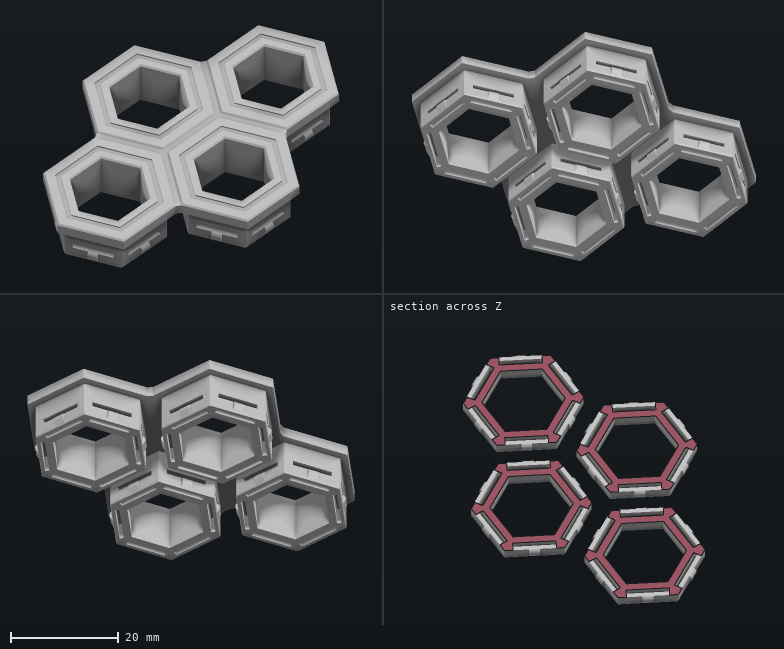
import cadquery as cq
import math

flange_width = 22.5
gap = 1.1
total_height = 10.0
flange_thickness = 2.5
flange_overhang = 1.45
flange_chamfer = 0.3
corner_chamfer = 0.15
foot_chamfer_height = 0.3
lead_in_angle = 26.5
hole_width = 13.4
rim_chamfer = 0.3

groove_inset = 2.0
groove_width = 1.0
groove_depth = 0.3

slot_length = 8.0
slot_height = 1.0
slot_depth = 1.6
slot_bottom = 2.5
spring_thickness = 0.8

catch_width = 2.0
catch_ramp_length = 1.0
catch_root = 0.5

pitch = flange_width + gap
column_spacing = pitch * math.sqrt(3) / 2
flange_side = flange_width / math.sqrt(3)
body_width = flange_width - 2 * flange_overhang
body_height = total_height - flange_thickness
bridge_thickness = flange_thickness - flange_chamfer
lead_in = math.radians(lead_in_angle)
foot_chamfer_width = foot_chamfer_height * math.tan(lead_in)

cell_centers = [
    (-column_spacing / 2, -pitch * 3 / 4),
    (-column_spacing / 2, pitch / 4),
    (column_spacing / 2, -pitch / 4),
    (column_spacing / 2, pitch * 3 / 4),
]


def hexagon(width, bottom, height):
    """Hexagonal prism with two flats facing +Y and -Y."""
    corner_diameter = width * 2 / math.sqrt(3)
    return cq.Workplane("XY").workplane(offset=bottom).polygon(6, corner_diameter).extrude(height)


def on_each_flat(shape):
    """The shape, built on the +Y flat, repeated around all six flats."""
    repeated = shape
    for side in range(1, 6):
        repeated = repeated.union(shape.rotate((0, 0, 0), (0, 0, 1), 60 * side))
    return repeated


def make_spring_cutter():
    """Slot in the flat and the relief behind the spring wall, open at the foot."""
    face = body_width / 2
    back = face - slot_depth
    slot_top = slot_bottom + slot_height
    return (
        cq.Workplane("YZ")
        .moveTo(back, 0)
        .lineTo(face - spring_thickness, 0)
        .lineTo(face - spring_thickness, slot_bottom)
        .lineTo(face, slot_bottom)
        .lineTo(face, slot_top)
        .lineTo(back, slot_top)
        .close()
        .extrude(slot_length / 2, both=True)
    )


def make_catch():
    """Snap catch: a ramp in line with the foot chamfer, then a round nose up to the slot."""
    face = body_width / 2
    root = face - catch_root
    tangent_y = face + catch_ramp_length * math.sin(lead_in)
    tangent_z = foot_chamfer_height + catch_ramp_length * math.cos(lead_in)
    rise = slot_bottom - foot_chamfer_height
    along_ramp = rise * math.cos(lead_in) - catch_ramp_length
    off_ramp = rise * math.sin(lead_in)
    nose_radius = (along_ramp**2 + off_ramp**2) / (2 * off_ramp)
    nose_y = tangent_y - nose_radius * math.cos(lead_in)
    nose_z = tangent_z + nose_radius * math.sin(lead_in)
    return (
        cq.Workplane("YZ")
        .moveTo(root, 0)
        .lineTo(face - foot_chamfer_width, 0)
        .lineTo(tangent_y, tangent_z)
        .threePointArc((nose_y + nose_radius, nose_z), (face, slot_bottom))
        .lineTo(root, slot_bottom)
        .close()
        .extrude(catch_width / 2, both=True)
    )


def make_groove():
    outer_width = flange_width - 2 * groove_inset
    inner_width = outer_width - 2 * groove_width
    bottom = total_height - groove_depth
    return hexagon(outer_width, bottom, groove_depth).cut(hexagon(inner_width, bottom, groove_depth))


def make_body():
    """Hexagonal body with chamfered corners, tapering inward at its foot."""
    corner_distance = body_width / math.sqrt(3)
    section = cq.Sketch().regularPolygon(corner_distance, 6, angle=30).vertices().chamfer(corner_chamfer)
    plane = cq.Workplane("XY").workplane(offset=foot_chamfer_height)
    wall = plane.placeSketch(section).extrude(body_height - foot_chamfer_height)
    foot = plane.placeSketch(section).extrude(-foot_chamfer_height, taper=lead_in_angle)
    return wall.union(foot)


def make_cell():
    flange = hexagon(flange_width, body_height, flange_thickness).faces(">Z").chamfer(flange_chamfer)
    body = make_body()
    body = body.union(on_each_flat(make_catch())).cut(on_each_flat(make_spring_cutter()))
    hole = hexagon(hole_width, 0, total_height)
    cell = flange.union(body).cut(make_groove()).cut(hole)
    rim = (
        cq.Workplane("XY")
        .workplane(offset=total_height)
        .polygon(6, (hole_width + 2 * rim_chamfer) * 2 / math.sqrt(3))
        .workplane(offset=-rim_chamfer)
        .polygon(6, hole_width * 2 / math.sqrt(3))
        .loft(ruled=True)
    )
    return cell.cut(rim)


def make_bridge(first, second):
    """Strip that fills the gap between the facing flats of two neighbouring cells."""
    direction = math.degrees(math.atan2(second[1] - first[1], second[0] - first[0]))
    middle = ((first[0] + second[0]) / 2, (first[1] + second[1]) / 2, body_height)
    strip = cq.Workplane("XY").box(gap, flange_side, bridge_thickness, centered=(True, True, False))
    return strip.rotate((0, 0, 0), (0, 0, 1), direction).translate(middle)


def make_junction(corner):
    """Triangle that fills the space where three cells meet."""
    triangle = cq.Workplane("XY").workplane(offset=body_height)
    triangle = triangle.polygon(3, gap * 2 / math.sqrt(3)).extrude(bridge_thickness)
    x, y, turn = corner
    return triangle.rotate((0, 0, 0), (0, 0, 1), turn).translate((x, y, 0))


def are_neighbours(first, second):
    return math.isclose(math.dist(first, second), pitch)


junction_offset = column_spacing / 2 - pitch / math.sqrt(3)
junctions = [
    (junction_offset, -pitch / 4, 0),
    (-junction_offset, pitch / 4, 180),
]

cell = make_cell()
result = cq.Workplane("XY")
for index, center in enumerate(cell_centers):
    result = result.union(cell.translate((center[0], center[1], 0)))
    for other in cell_centers[:index]:
        if are_neighbours(center, other):
            result = result.union(make_bridge(other, center))
for junction in junctions:
    result = result.union(make_junction(junction))